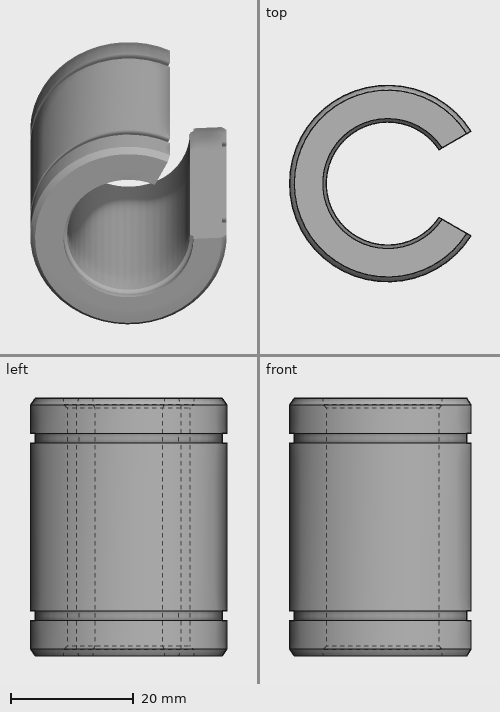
import cadquery as cq
import math

length = 42.0
outer_radius = 16.0
bore_radius = 10.0

recess_radius = 10.6
recess_straight_depth = 1.05
recess_depth = recess_straight_depth + recess_radius - bore_radius

bevel_radial = 0.8
bevel_axial = 1.15

groove_radius = 15.25
groove_width = 1.6
groove_end_distance = 5.75

opening_width = 11.0
opening_angle = 60.0


def cylinder(radius, height, base_z):
    return cq.Workplane("XY").workplane(offset=base_z).circle(radius).extrude(height)


def beveled_sleeve():
    """Revolved sleeve with bevelled outer rims and a recess at each end of the bore."""
    rim_radius = outer_radius - bevel_radial
    profile = [
        (recess_radius, 0),
        (rim_radius, 0),
        (outer_radius, bevel_axial),
        (outer_radius, length - bevel_axial),
        (rim_radius, length),
        (recess_radius, length),
        (recess_radius, length - recess_straight_depth),
        (bore_radius, length - recess_depth),
        (bore_radius, recess_depth),
        (recess_radius, recess_straight_depth),
    ]
    return cq.Workplane("XZ").polyline(profile).close().revolve(360, (0, 0), (0, 1))


def groove(base_z):
    """Ring of material removed for one retaining ring."""
    ring = cylinder(outer_radius, groove_width, base_z)
    return ring.cut(cylinder(groove_radius, groove_width, base_z))


def opening():
    """Flared wedge that opens the sleeve along its whole length."""
    half_width = opening_width / 2
    slope = math.tan(math.radians(opening_angle / 2))
    bore_edge_x = math.sqrt(bore_radius**2 - half_width**2)
    apex_x = bore_edge_x - half_width / slope
    far_x = 2 * outer_radius
    far_y = (far_x - apex_x) * slope
    wedge = [(apex_x, 0), (far_x, -far_y), (far_x, far_y)]
    return cq.Workplane("XY").polyline(wedge).close().extrude(length)


result = beveled_sleeve()

for base_z in (groove_end_distance, length - groove_end_distance - groove_width):
    result = result.cut(groove(base_z))

result = result.cut(opening())